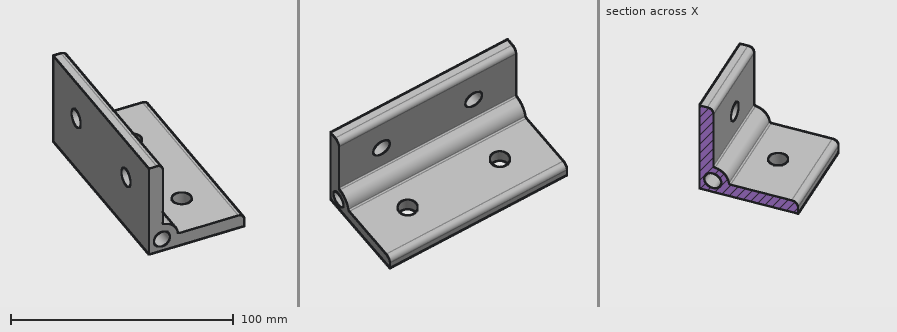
import cadquery as cq

length = 96.0
leg = 48.0
thickness = 7.0
edge_radius = 3.1

bore_center = 6.5
bore_diameter = 8.1
barrel_radius = 8.1
root_radius = 0.8

hole_diameter = 9.0
hole_spacing = 49.9
hole_height = 28.0
hole_first_x = (length - hole_spacing) / 2


def block(y_size, z_size):
    """Full-length block with one edge on the outer corner of the angle."""
    return cq.Workplane("XY").box(length, y_size, z_size, centered=False)


def bar(y, z, radius):
    """Full-length round bar parallel to X."""
    return cq.Workplane("YZ").center(y, z).circle(radius).extrude(length)


def edge_near(y, z):
    """Selector for the lengthwise edge passing closest to a point."""
    return cq.selectors.NearestToPointSelector((length / 2, y, z))


angle = block(leg, thickness).union(block(thickness, leg))
angle = angle.union(bar(bore_center, bore_center, barrel_radius).intersect(block(leg, leg)))

angle = angle.edges(edge_near(leg, thickness)).fillet(edge_radius)
angle = angle.edges(edge_near(thickness, leg)).fillet(edge_radius)

root_offset = (barrel_radius**2 - (thickness - bore_center) ** 2) ** 0.5
root = bore_center + root_offset
angle = angle.edges(edge_near(root, thickness)).fillet(root_radius)
angle = angle.edges(edge_near(thickness, root)).fillet(root_radius)

angle = angle.cut(bar(bore_center, bore_center, bore_diameter / 2))

for x in (hole_first_x, hole_first_x + hole_spacing):
    vertical_hole = cq.Workplane("XY").center(x, hole_height).circle(hole_diameter / 2).extrude(thickness)
    horizontal_hole = cq.Workplane("XZ").center(x, hole_height).circle(hole_diameter / 2).extrude(-thickness)
    angle = angle.cut(vertical_hole).cut(horizontal_hole)

result = angle